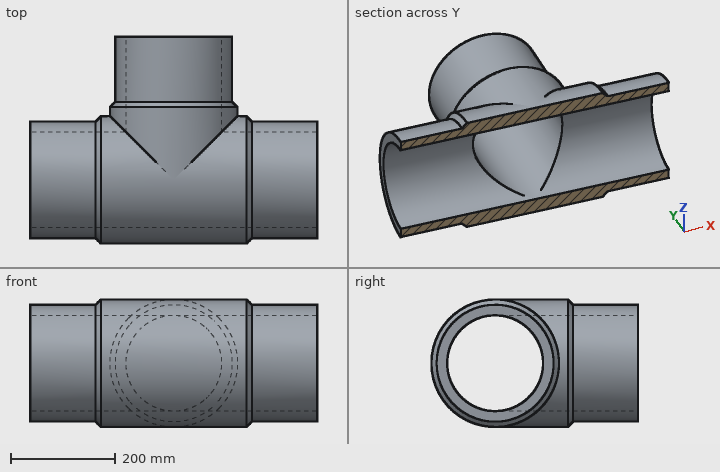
import cadquery as cq

run_length = 552.0
branch_reach = 275.0
spigot_diameter = 225.0
wall_thickness = 20.5
body_diameter = 245.5
body_reach = 150.0

run_reach = run_length / 2
spigot_radius = spigot_diameter / 2
body_radius = body_diameter / 2
bore_radius = spigot_radius - wall_thickness
shoulder = body_radius - spigot_radius
full_body_reach = body_reach - shoulder


def run_outside():
    """Straight run along X: thick body with a shoulder and a spigot at both ends."""
    profile = (
        cq.Workplane("XY")
        .moveTo(-run_reach, 0)
        .lineTo(-run_reach, -spigot_radius)
        .lineTo(-body_reach, -spigot_radius)
        .lineTo(-full_body_reach, -body_radius)
        .lineTo(full_body_reach, -body_radius)
        .lineTo(body_reach, -spigot_radius)
        .lineTo(run_reach, -spigot_radius)
        .lineTo(run_reach, 0)
        .close()
    )
    return profile.revolve(360, (0, 0, 0), (1, 0, 0))


def branch_outside():
    """Side outlet along +Y: thick body, shoulder, then spigot."""
    profile = (
        cq.Workplane("XY")
        .moveTo(0, 0)
        .lineTo(-body_radius, 0)
        .lineTo(-body_radius, full_body_reach)
        .lineTo(-spigot_radius, body_reach)
        .lineTo(-spigot_radius, branch_reach)
        .lineTo(0, branch_reach)
        .close()
    )
    return profile.revolve(360, (0, 0, 0), (0, 1, 0))


def bores():
    """Through bore of the run joined by the bore of the branch."""
    run_bore = cq.Workplane("YZ").circle(bore_radius).extrude(run_reach, both=True)
    branch_bore = cq.Workplane("XZ").circle(bore_radius).extrude(-branch_reach)
    return run_bore.union(branch_bore)


result = run_outside().union(branch_outside()).cut(bores())